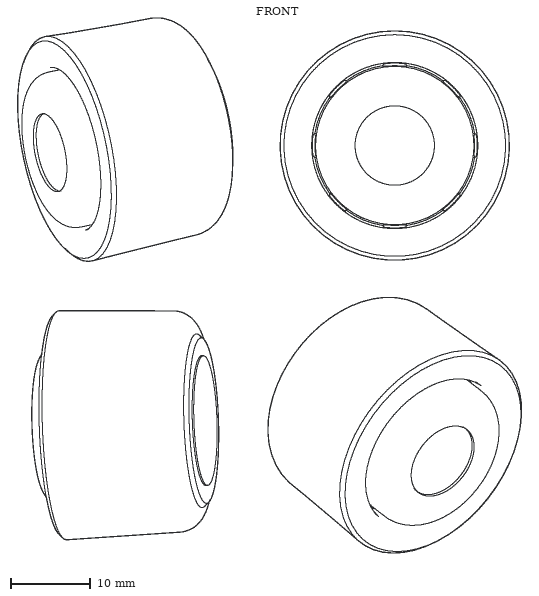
import cadquery as cq
import math


max_radius = 14.48
front_chamfer = 0.5
shoulder_radius = 14.0
rear_round = 3.0
boss_length = 0.58
boss_taper = 0.52
housing_length = 18.6

mouth_round = 0.5
mouth_radius = 10.5
floor_fillet = 0.3
floor_depth = 5.0
seat_depth = 6.0

button_radius = 10.0
button_protrusion = 2.0
dish_radius = 5.0
dish_depth = 0.4
flare_rise = 0.15

lug_count = 8
lug_base_width = 3.0
lug_flank = 0.3
lug_rise = 0.1

disc_radius = 8.2
disc_inset = 1.0
disc_proud = 0.2

front_radius = max_radius - front_chamfer
boss_base_radius = shoulder_radius - rear_round
boss_end_radius = boss_base_radius - boss_taper
shoulder_y = housing_length - boss_length
skirt_radius = mouth_radius - floor_fillet
lug_front = floor_depth - lug_rise
diagonal = math.sqrt(0.5)


def revolve(profile):
    """Turn a closed (radius, y) profile fully around the Y axis."""
    return profile.close().revolve(360, (0, 0), (0, 1))


def start_profile():
    """Half-plane with local x as radius (along Z) and local y along Y."""
    return cq.Workplane("ZY")


def round_middle(center_r, center_y, radius, r_side, y_side):
    """Middle point of a quarter round, on the given sides of its centre."""
    return center_r + r_side * radius * diagonal, center_y + y_side * radius * diagonal


def lug_ring():
    """Eight radial bars cut to the band between the button and the mouth."""
    base_half = lug_base_width / 2
    top_half = base_half - lug_flank
    bar = (
        cq.Workplane("YZ")
        .moveTo(seat_depth, -base_half)
        .lineTo(floor_depth, -base_half)
        .lineTo(lug_front, -top_half)
        .lineTo(lug_front, top_half)
        .lineTo(floor_depth, base_half)
        .lineTo(seat_depth, base_half)
        .close()
        .extrude(max_radius)
    )
    band = (
        cq.Workplane("XZ")
        .circle(mouth_radius)
        .circle(button_radius)
        .extrude(-seat_depth)
    )
    lugs = cq.Workplane("XY")
    for index in range(lug_count):
        turned_bar = bar.rotate((0, 0, 0), (0, 1, 0), index * 360 / lug_count)
        lugs = lugs.add(turned_bar.intersect(band))
    return lugs.combine()


def make_housing(lugs):
    mouth_middle = round_middle(mouth_radius + mouth_round, mouth_round, mouth_round, -1, -1)
    floor_middle = round_middle(skirt_radius, floor_depth - floor_fillet, floor_fillet, 1, 1)
    rear_middle = round_middle(boss_base_radius, shoulder_y - rear_round, rear_round, 1, 1)
    body = revolve(
        start_profile()
        .moveTo(mouth_radius + mouth_round, 0)
        .lineTo(front_radius, 0)
        .lineTo(max_radius, front_chamfer)
        .lineTo(shoulder_radius, shoulder_y - rear_round)
        .threePointArc(rear_middle, (boss_base_radius, shoulder_y))
        .lineTo(boss_end_radius, housing_length)
        .lineTo(disc_radius, housing_length)
        .lineTo(disc_radius, housing_length - disc_inset)
        .lineTo(0, housing_length - disc_inset)
        .lineTo(0, seat_depth)
        .lineTo(skirt_radius, seat_depth)
        .lineTo(skirt_radius, floor_depth)
        .threePointArc(floor_middle, (mouth_radius, floor_depth - floor_fillet))
        .lineTo(mouth_radius, mouth_round)
        .threePointArc(mouth_middle, (mouth_radius + mouth_round, 0))
    )
    return body.union(lugs)


def make_button(lugs):
    edge_middle = round_middle(button_radius - button_protrusion, 0, button_protrusion, 1, -1)
    body = revolve(
        start_profile()
        .moveTo(0, dish_depth - button_protrusion)
        .lineTo(dish_radius, dish_depth - button_protrusion)
        .lineTo(dish_radius, -button_protrusion)
        .lineTo(button_radius - button_protrusion, -button_protrusion)
        .threePointArc(edge_middle, (button_radius, 0))
        .lineTo(button_radius, floor_depth - flare_rise)
        .lineTo(skirt_radius, floor_depth)
        .lineTo(skirt_radius, seat_depth)
        .lineTo(0, seat_depth)
    )
    return body.cut(lugs)


def make_rear_disc():
    return (
        cq.Workplane("XZ", origin=(0, housing_length - disc_inset, 0))
        .circle(disc_radius)
        .extrude(-(disc_inset + disc_proud))
    )


lugs = lug_ring()
housing = make_housing(lugs)
button = make_button(lugs)
rear_disc = make_rear_disc()

result = cq.Compound.makeCompound([housing.val(), button.val(), rear_disc.val()])